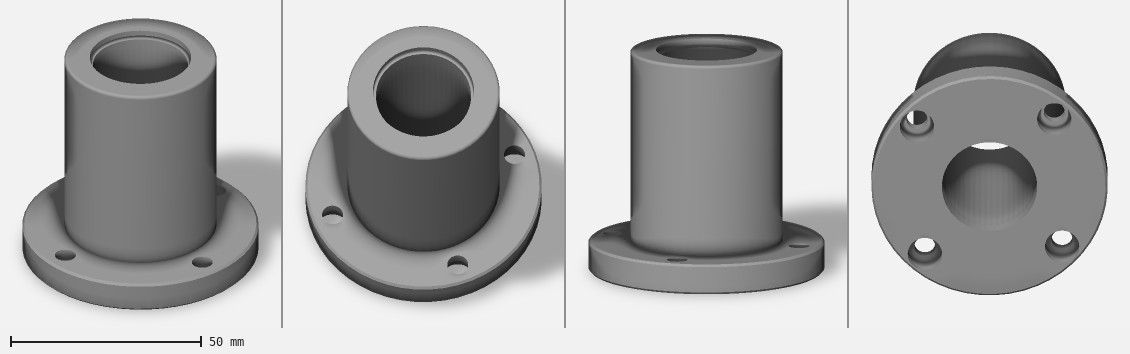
import cadquery as cq

flange_diameter = 62.0
flange_thickness = 8.0
barrel_diameter = 40.0
total_height = 59.0

bore_diameter = 25.0
mouth_diameter = 26.6
mouth_depth = 1.5
groove_diameter = 28.2
groove_width = 0.7

hole_diameter = 5.5
hole_circle_diameter = 51.0
hole_count = 4
counterbore_diameter = 9.0
counterbore_depth = 5.1

barrel_fillet = 0.8
flange_chamfer = 0.6


def make_disc(diameter, bottom, height):
    """Solid cylinder on the Z axis, starting at the given level."""
    return cq.Workplane("XY").workplane(offset=bottom).circle(diameter / 2).extrude(height)


def make_flange():
    """Round flange standing on Z = 0, with both rims chamfered."""
    disc = make_disc(flange_diameter, 0, flange_thickness)
    return disc.edges().chamfer(flange_chamfer)


def make_barrel():
    """Upright barrel over the full height, with its top rim rounded."""
    cylinder = make_disc(barrel_diameter, 0, total_height)
    return cylinder.edges(">Z").fillet(barrel_fillet)


def make_bore():
    """Through bore with the ring groove and the wider mouth at the top."""
    mouth_bottom = total_height - mouth_depth
    bore = make_disc(bore_diameter, 0, total_height)
    mouth = make_disc(mouth_diameter, mouth_bottom, mouth_depth)
    groove = make_disc(groove_diameter, mouth_bottom - groove_width, groove_width)
    return bore.union(mouth).union(groove)


def make_flange_holes(diameter, depth):
    """Holes on the X and Y axes of the flange, cut upward from its underside."""
    return (
        cq.Workplane("XY")
        .polarArray(hole_circle_diameter / 2, 0, 360, hole_count)
        .circle(diameter / 2)
        .extrude(depth)
    )


result = (
    make_flange()
    .union(make_barrel())
    .cut(make_bore())
    .cut(make_flange_holes(hole_diameter, flange_thickness))
    .cut(make_flange_holes(counterbore_diameter, counterbore_depth))
)